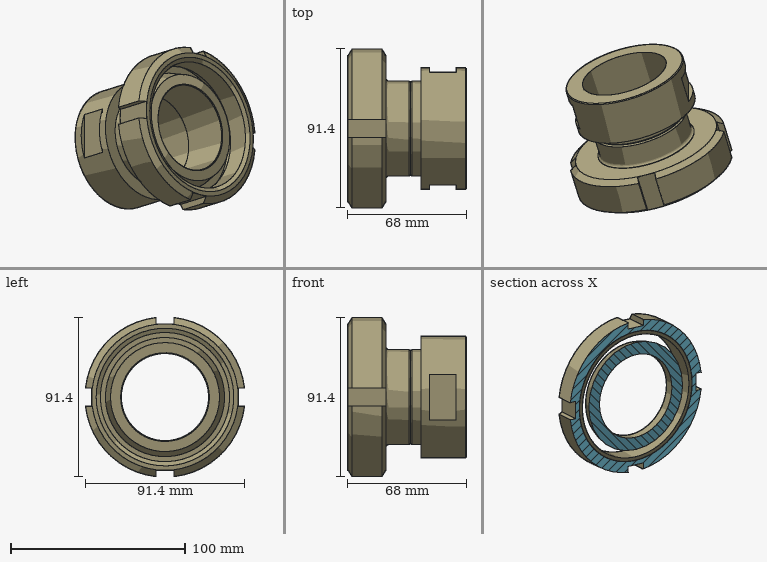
import cadquery as cq
import math


nut_radius = 46.0
nut_length = 22.0
nut_bevel_length = 2.5
nut_end_radius = 42.1
nut_bore_radius = 74.2 / 2
nut_mouth_radius = 39.5
nut_mouth_bevel = 1.3
nut_relief_radius = 78.4 / 2
nut_relief_x = 13.7
nut_floor_x = 18.5
slot_width = 10.2
slot_count = 4

bore_radius = 50.0 / 2
bore_bevel = 0.5
liner_face_x = 8.0
liner_face_setback = 0.4
liner_face_radius = 31.3
flange_radius = 34.2
collar_radius = 57.3 / 2
neck_radius = 27.3
neck_start_x = 23.6
neck_fillet = 1.8

joint_x = 36.0
groove_depth = 0.8

sleeve_radius = 70.0 / 2
sleeve_shoulder_x = 42.0
sleeve_end_x = 68.0
sleeve_bevel = 0.55
flat_start_x = 47.0
flat_length = 15.3
flat_distance = 32.5


def revolve_about_x(profile):
    return profile.close().revolve(360, (0, 0, 0), (1, 0, 0))


def make_nut():
    body = revolve_about_x(
        cq.Workplane("XY")
        .moveTo(0, nut_mouth_radius)
        .lineTo(0, nut_end_radius)
        .lineTo(nut_bevel_length, nut_radius)
        .lineTo(nut_length - nut_bevel_length, nut_radius)
        .lineTo(nut_length, nut_end_radius)
        .lineTo(nut_length, collar_radius)
        .lineTo(nut_floor_x, collar_radius)
        .lineTo(nut_floor_x, nut_relief_radius)
        .lineTo(nut_relief_x, nut_relief_radius)
        .lineTo(nut_relief_x, nut_bore_radius)
        .lineTo(nut_mouth_bevel, nut_bore_radius)
    )
    slot = cq.Workplane("XY").box(
        nut_length, slot_width, nut_radius, centered=(False, True, False)
    ).translate((0, 0, nut_end_radius))
    for index in range(slot_count):
        body = body.cut(slot.rotate((0, 0, 0), (1, 0, 0), index * 360 / slot_count))
    return body


def make_liner():
    fillet_center_radius = neck_radius + neck_fillet
    sweep = math.acos((fillet_center_radius - collar_radius) / neck_fillet)
    fillet_start_x = neck_start_x - neck_fillet * math.sin(sweep)
    fillet_middle = (
        neck_start_x - neck_fillet * math.sin(sweep / 2),
        fillet_center_radius - neck_fillet * math.cos(sweep / 2),
    )
    return revolve_about_x(
        cq.Workplane("XY")
        .moveTo(liner_face_x, bore_radius + bore_bevel)
        .lineTo(liner_face_x + liner_face_setback, liner_face_radius)
        .lineTo(nut_floor_x, flange_radius)
        .lineTo(nut_floor_x, collar_radius)
        .lineTo(fillet_start_x, collar_radius)
        .threePointArc(fillet_middle, (neck_start_x, neck_radius))
        .lineTo(joint_x - groove_depth, neck_radius)
        .lineTo(joint_x, neck_radius - groove_depth)
        .lineTo(joint_x, bore_radius)
        .lineTo(liner_face_x + bore_bevel, bore_radius)
    )


def make_sleeve():
    body = revolve_about_x(
        cq.Workplane("XY")
        .moveTo(joint_x, bore_radius)
        .lineTo(joint_x, neck_radius - groove_depth)
        .lineTo(joint_x + groove_depth, neck_radius)
        .lineTo(sleeve_shoulder_x, neck_radius)
        .lineTo(sleeve_shoulder_x, sleeve_radius)
        .lineTo(sleeve_end_x - sleeve_bevel, sleeve_radius)
        .lineTo(sleeve_end_x, sleeve_radius - sleeve_bevel)
        .lineTo(sleeve_end_x, bore_radius)
    )
    flat_cutter = cq.Workplane("XY").box(
        flat_length, sleeve_radius, 2 * sleeve_radius, centered=(False, False, True)
    ).translate((flat_start_x, flat_distance, 0))
    for angle in (0, 180):
        body = body.cut(flat_cutter.rotate((0, 0, 0), (1, 0, 0), angle))
    return body


nut = make_nut()
liner = make_liner()
sleeve = make_sleeve()

result = cq.Compound.makeCompound([nut.val(), liner.val(), sleeve.val()])